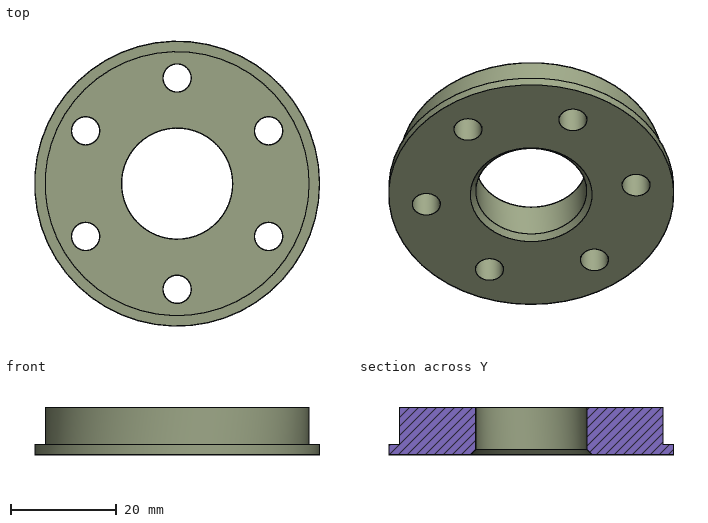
import cadquery as cq

flange_diameter = 54.0
body_diameter = 50.0
total_height = 9.0
flange_thickness = 2.0

bore_diameter = 21.0
bore_chamfer = 1.0
bolt_hole_diameter = 5.3
bolt_circle_diameter = 40.0
bolt_hole_count = 6
first_bolt_angle = 90.0


def make_stepped_disc():
    """Round body standing on a thin, wider flange."""
    flange = cq.Workplane("XY").circle(flange_diameter / 2).extrude(flange_thickness)
    body = cq.Workplane("XY").circle(body_diameter / 2).extrude(total_height)
    return flange.union(body)


def make_bore():
    """Central through bore, widened by a chamfer at the underside."""
    bore = cq.Workplane("XY").circle(bore_diameter / 2).extrude(total_height)
    lead_in = (
        cq.Workplane("XY")
        .circle(bore_diameter / 2 + bore_chamfer)
        .extrude(bore_chamfer, taper=45)
    )
    return bore.union(lead_in)


def make_bolt_holes():
    """Through holes evenly spaced on the bolt circle."""
    return (
        cq.Workplane("XY")
        .polarArray(bolt_circle_diameter / 2, first_bolt_angle, 360, bolt_hole_count)
        .circle(bolt_hole_diameter / 2)
        .extrude(total_height)
    )


result = make_stepped_disc().cut(make_bore()).cut(make_bolt_holes())